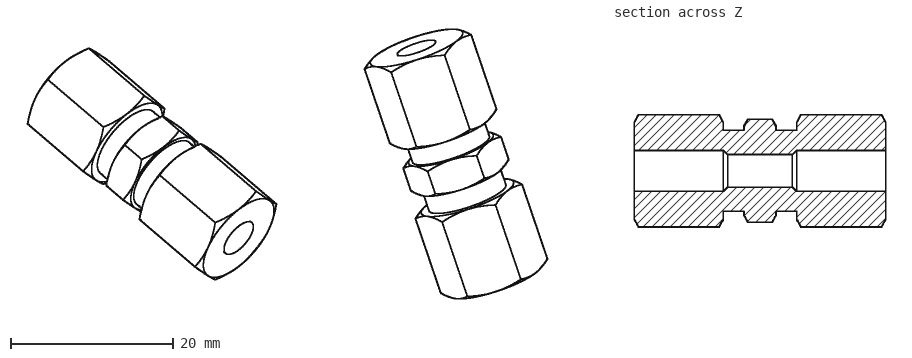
import cadquery as cq
import math

total_length = 31.0
nut_length = 11.0
nut_flats = 12.0
center_hex_length = 4.0
center_hex_flats = 11.0
body_diameter = 10.0
bore_diameter = 4.0
tube_socket_diameter = 5.0
tube_socket_depth = nut_length
seat_half_angle = 45.0
chamfer_angle = 30.0


def cylinder_along_x(start, length, diameter):
    return cq.Workplane("YZ", origin=(start, 0, 0)).circle(diameter / 2).extrude(length)


def chamfered_hex(start, length, flats):
    """Hexagonal prism along X whose corners are turned down to the flats at both ends."""
    corner_radius = flats / math.sqrt(3)
    face_radius = flats / 2
    setback = (corner_radius - face_radius) * math.tan(math.radians(chamfer_angle))
    end = start + length
    prism = (
        cq.Workplane("YZ", origin=(start, 0, 0))
        .polygon(6, 2 * corner_radius)
        .extrude(length)
    )
    turned_envelope = (
        cq.Workplane("XY")
        .moveTo(start, 0)
        .lineTo(start, face_radius)
        .lineTo(start + setback, corner_radius)
        .lineTo(end - setback, corner_radius)
        .lineTo(end, face_radius)
        .lineTo(end, 0)
        .close()
        .revolve(360, (0, 0, 0), (1, 0, 0))
    )
    return prism.intersect(turned_envelope)


half_length = total_length / 2
left_nut_start = -half_length
right_nut_start = half_length - nut_length

body = cylinder_along_x(left_nut_start + nut_length, total_length - 2 * nut_length, body_diameter)
result = body.union(chamfered_hex(-center_hex_length / 2, center_hex_length, center_hex_flats))

for nut_start in (left_nut_start, right_nut_start):
    result = result.union(chamfered_hex(nut_start, nut_length, nut_flats))

bore_radius = bore_diameter / 2
socket_radius = tube_socket_diameter / 2
seat_length = (socket_radius - bore_radius) / math.tan(math.radians(seat_half_angle))
socket_end = half_length - tube_socket_depth
seat_end = socket_end - seat_length
passage = (
    cq.Workplane("XY")
    .moveTo(-half_length, 0)
    .lineTo(-half_length, socket_radius)
    .lineTo(-socket_end, socket_radius)
    .lineTo(-seat_end, bore_radius)
    .lineTo(seat_end, bore_radius)
    .lineTo(socket_end, socket_radius)
    .lineTo(half_length, socket_radius)
    .lineTo(half_length, 0)
    .close()
    .revolve(360, (0, 0, 0), (1, 0, 0))
)
result = result.cut(passage)